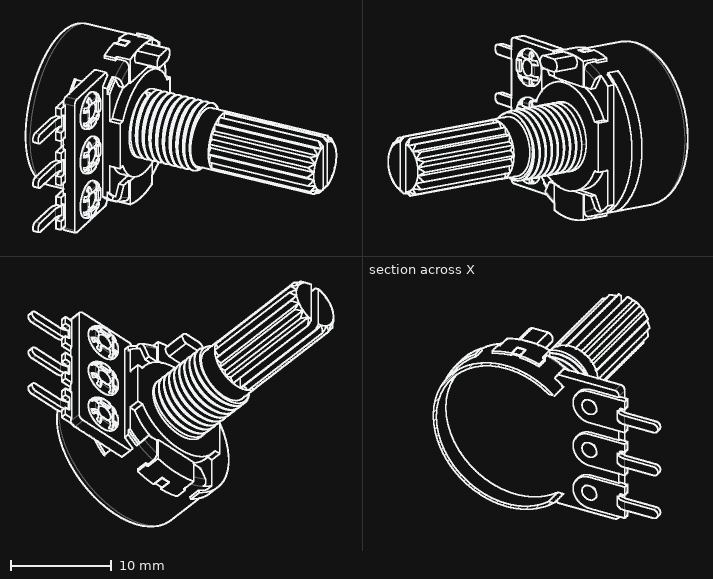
import cadquery as cq
import math


can_radius = 8.25
can_wall = 0.4
can_round = 0.8
opening_start = 4.3
opening_half_height = 6.24

board_back = 6.26
board_front = 7.5
rim_radius = 8.5
board_half_height = 7.5
board_bottom = -11.63
board_corner = 0.5
shoulder_y = -4.75
neck_half_width = 4.4
neck_height = math.sqrt(can_radius**2 - neck_half_width**2)

body_front = 8.28
body_half_width = 5.5
step_back = 8.03
step_radius = 7.8

arm_front = 8.85
arm_round = 0.55
arm_inner_height = 5.5
strap_front = 9.01
strap_half_width = 2.4
strap_ear_half_width = 2.65
strap_notch_width = 0.95
strap_notch_length = 0.18
strap_pad_radius = 8.42

peg_end = 11.5
peg_width = 2.8
peg_flat_width = 1.8
peg_height = 1.32
peg_center_z = 7.785

boss_front = 9.45
boss_radius = 5.5
key_half_height = 2.53

bushing_end = 16.05
thread_radius = 3.5
thread_pitch = 0.75
thread_depth = 0.4
thread_crest = 0.1
thread_run_in = 0.32
thread_start = boss_front + thread_run_in
groove_overrun = 0.05

shaft_end = 29.5
shaft_radius = 3.0
spline_start = 18.0
spline_root_radius = 2.5
spline_teeth = 18
shaft_chamfer = 0.5
split_width = 0.95

terminal_pitch = 5.0
terminal_back = 5.86
terminal_thickness = 0.57
terminal_half_width = 1.82
terminal_end = -12.5
rivet_y = -8.5
rivet_hole_radius = 0.82
rivet_head_radius = 1.9
rivet_head_height = 0.55
rivet_head_round = 0.45
rivet_slot_offset = 0.8
rivet_slot_width = 0.45
rivet_slot_depth = 0.25
pin_end = -16.5
pin_width = 1.02
pin_back = 5.32
bend_start = -11.65
bend_end = -12.72
bend_bulge = 0.1
relief_width = 0.36
relief_end = -11.9


def disc(x_start, x_end, radius, y=0, z=0):
    """Cylinder along X between two X positions."""
    return cq.Workplane("YZ", origin=(x_start, y, z)).circle(radius).extrude(x_end - x_start)


def block(x_range, y_range, z_range):
    """Box given by its limits on each axis."""
    sizes = [high - low for low, high in (x_range, y_range, z_range)]
    corner = (x_range[0], y_range[0], z_range[0])
    return cq.Workplane("XY").box(*sizes, centered=False).translate(corner)


def both_ways(half_size):
    """Limits placed evenly about zero."""
    return (-half_size, half_size)


def side_sectors(x_start, x_end):
    """Two opposite wedges, above and below the axis, that share the arms' angle."""
    reach = 1.2 * rim_radius
    half_width = reach * neck_half_width / neck_height
    return (
        cq.Workplane("YZ", origin=(x_start, 0, 0))
        .polyline([(0, 0), (half_width, reach), (-half_width, reach)])
        .close()
        .polyline([(0, 0), (half_width, -reach), (-half_width, -reach)])
        .close()
        .extrude(x_end - x_start)
    )


def make_can():
    """Hollow cup with a rounded back edge and a window on the terminal side."""
    outer = disc(0, board_back, can_radius).faces("<X").edges().fillet(can_round)
    cavity = disc(can_wall, board_back, can_radius - can_wall)
    window = block(
        (opening_start, board_back), (-can_radius, 0), both_ways(opening_half_height)
    )
    return outer.cut(cavity).cut(window)


def make_board():
    """Round board with a wider rim on +Y and a rectangular terminal end on -Y."""
    x_range = (board_back, board_front)
    center = disc(*x_range, can_radius).intersect(
        block(x_range, both_ways(neck_half_width), both_ways(can_radius))
    )
    rim = disc(*x_range, rim_radius).cut(side_sectors(*x_range))
    rim = rim.intersect(block(x_range, (0, rim_radius), both_ways(rim_radius)))
    terminal_end_plate = (
        cq.Workplane("YZ", origin=(board_back, 0, 0))
        .moveTo(-neck_half_width, -neck_height)
        .lineTo(shoulder_y, -board_half_height)
        .lineTo(board_bottom, -board_half_height)
        .lineTo(board_bottom, board_half_height)
        .lineTo(shoulder_y, board_half_height)
        .lineTo(-neck_half_width, neck_height)
        .close()
        .extrude(board_front - board_back)
        .edges("|X and <Y")
        .fillet(board_corner)
    )
    return center.union(rim).union(terminal_end_plate)


def make_body():
    """Front body: a disc with two flats, stepped down in front on the terminal side."""
    flats = block(
        (board_front, body_front), both_ways(body_half_width), both_ways(can_radius)
    )
    trim = disc(step_back, body_front, can_radius)
    trim = trim.cut(disc(step_back, body_front, step_radius))
    trim = trim.intersect(block((step_back, body_front), (-can_radius, 0), both_ways(can_radius)))
    return disc(board_front, body_front, can_radius).intersect(flats).cut(trim)


def make_arms():
    """Can arms folded over the front of the body, above and below the boss."""
    rounded = disc(board_front, arm_front, can_radius).faces(">X").edges().fillet(arm_round)
    middle = block(
        (board_front, arm_front), both_ways(neck_half_width), both_ways(arm_inner_height)
    )
    return rounded.intersect(side_sectors(board_front, arm_front)).cut(middle)


def make_straps():
    """Retaining straps over the arms, with wider notched ears over the board."""
    ears = disc(board_back, board_front, rim_radius).intersect(
        block(
            (board_back, board_front),
            both_ways(strap_ear_half_width),
            both_ways(rim_radius),
        )
    )
    bands = disc(board_front, strap_front, rim_radius).intersect(
        block(
            (board_front, strap_front), both_ways(strap_half_width), both_ways(rim_radius)
        )
    )
    middle = block(
        (board_back, strap_front),
        both_ways(strap_ear_half_width),
        both_ways(arm_inner_height),
    )
    straps = ears.union(bands).cut(middle)

    notch_end = board_back + strap_notch_length
    notch_y = both_ways(strap_notch_width / 2)
    notch_z = both_ways(rim_radius)
    gap = block((board_back, notch_end), notch_y, notch_z)
    gap = gap.cut(disc(board_back, notch_end, can_radius))
    recess = block((notch_end, board_front), notch_y, notch_z)
    recess = recess.cut(disc(notch_end, board_front, strap_pad_radius))
    return straps.cut(gap).cut(recess)


def make_peg():
    """Rounded locating peg standing forward from the upper strap."""
    half_height = peg_height / 2
    half_flat = peg_flat_width / 2
    return (
        cq.Workplane("YZ", origin=(body_front, 0, peg_center_z))
        .moveTo(-half_flat, half_height)
        .lineTo(half_flat, half_height)
        .threePointArc((peg_width / 2, 0), (half_flat, -half_height))
        .lineTo(-half_flat, -half_height)
        .threePointArc((-peg_width / 2, 0), (-half_flat, half_height))
        .close()
        .extrude(peg_end - body_front)
    )


def make_boss():
    """Round boss with a key reaching the flats of the body."""
    key = block(
        (body_front, boss_front), both_ways(body_half_width), both_ways(key_half_height)
    )
    return disc(body_front, boss_front, boss_radius).union(key)


def make_bushing():
    """Bushing with a right-hand V thread, starting above the axis just past the boss.

    The blank is made longer than the bushing and trimmed after the thread is cut.
    """
    blank = disc(boss_front, bushing_end + 2 * thread_pitch, thread_radius)
    run_length = bushing_end - thread_start + thread_pitch
    root_radius = thread_radius - thread_depth
    half_mouth = (thread_pitch - thread_crest) / 2
    half_outer = half_mouth * (1 + groove_overrun / thread_depth)
    path = cq.Wire.makeHelix(thread_pitch, run_length, root_radius)
    groove = (
        cq.Workplane("XZ")
        .moveTo(root_radius, 0)
        .lineTo(thread_radius + groove_overrun, half_outer)
        .lineTo(thread_radius + groove_overrun, -half_outer)
        .close()
        .sweep(cq.Workplane(path), isFrenet=True)
        .rotate((0, 0, 0), (0, 1, 0), 90)
        .rotate((0, 0, 0), (1, 0, 0), 180)
        .translate((thread_start, 0, 0))
    )
    return blank.cut(groove).intersect(disc(boss_front, bushing_end, 2 * thread_radius))


def make_shaft():
    """Shaft with a sharp-toothed spline, a chamfered tip and a lengthwise split."""
    plain = disc(boss_front, spline_start, shaft_radius)
    outline = []
    for step in range(2 * spline_teeth):
        radius = spline_root_radius if step % 2 else shaft_radius
        angle = math.pi * step / spline_teeth
        outline.append((radius * math.cos(angle), radius * math.sin(angle)))
    spline = (
        cq.Workplane("YZ", origin=(spline_start, 0, 0))
        .polyline(outline)
        .close()
        .extrude(shaft_end - spline_start)
    )
    tip = disc(spline_start, shaft_end, shaft_radius).faces(">X").edges().chamfer(shaft_chamfer)
    split = block(
        (spline_start, shaft_end), both_ways(split_width / 2), both_ways(shaft_radius)
    )
    return plain.union(spline.intersect(tip).cut(split))


def make_terminal_plate():
    """Round-ended plate with two relief slots beside the pin."""
    plate = block(
        (terminal_back, terminal_back + terminal_thickness),
        (terminal_end, rivet_y),
        both_ways(terminal_half_width),
    )
    plate = plate.union(
        disc(terminal_back, terminal_back + terminal_thickness, terminal_half_width, rivet_y)
    )
    relief_half_width = pin_width / 2 + relief_width
    opening = block(
        (terminal_back, terminal_back + terminal_thickness),
        (terminal_end, relief_end),
        both_ways(relief_half_width),
    )
    opening = opening.edges("|X and >Y").fillet(relief_width / 2)
    return plate.cut(opening)


def make_pin():
    """Solder pin, bent back out of the terminal plate and rounded at its tip."""
    plate_front = terminal_back + terminal_thickness
    pin_front = pin_back + terminal_thickness
    bend_middle = (bend_start + bend_end) / 2
    bend = (
        cq.Workplane("XY", origin=(0, 0, -pin_width / 2))
        .moveTo(plate_front, bend_start)
        .lineTo(terminal_back, bend_start)
        .threePointArc(
            ((terminal_back + pin_back) / 2 - bend_bulge, bend_middle + bend_bulge),
            (pin_back, bend_end),
        )
        .lineTo(pin_front, bend_end)
        .threePointArc(
            ((plate_front + pin_front) / 2 - bend_bulge, bend_middle + bend_bulge),
            (plate_front, bend_start),
        )
        .close()
        .extrude(pin_width)
    )
    tip_radius = pin_width / 2
    tip_center = pin_end + tip_radius
    straight = block((pin_back, pin_front), (tip_center, bend_end), both_ways(tip_radius))
    tip = disc(pin_back, pin_front, tip_radius, tip_center)
    return bend.union(straight).union(tip)


def make_rivet_head():
    """Domed rivet head crossed by four shallow slots."""
    top = board_front + rivet_head_height
    head = disc(board_front, top, rivet_head_radius).faces(">X").edges().fillet(rivet_head_round)
    slot_x = (top - rivet_slot_depth, top)
    for offset in both_ways(rivet_slot_offset):
        across = (offset - rivet_slot_width / 2, offset + rivet_slot_width / 2)
        head = head.cut(block(slot_x, across, both_ways(rivet_head_radius)))
        head = head.cut(block(slot_x, both_ways(rivet_head_radius), across))
    return head.translate((0, rivet_y, 0))


result = make_can()
for section in (
    make_board(),
    make_body(),
    make_arms(),
    make_straps(),
    make_peg(),
    make_boss(),
    make_bushing(),
    make_shaft(),
):
    result = result.union(section)

terminal = make_terminal_plate().union(make_pin())
rivet_head = make_rivet_head()
for z in (-terminal_pitch, 0, terminal_pitch):
    result = result.union(terminal.translate((0, 0, z)))
    result = result.union(rivet_head.translate((0, 0, z)))
    rivet_hole = disc(terminal_back, body_front, rivet_hole_radius, rivet_y, z)
    result = result.cut(rivet_hole)
result = result.clean()